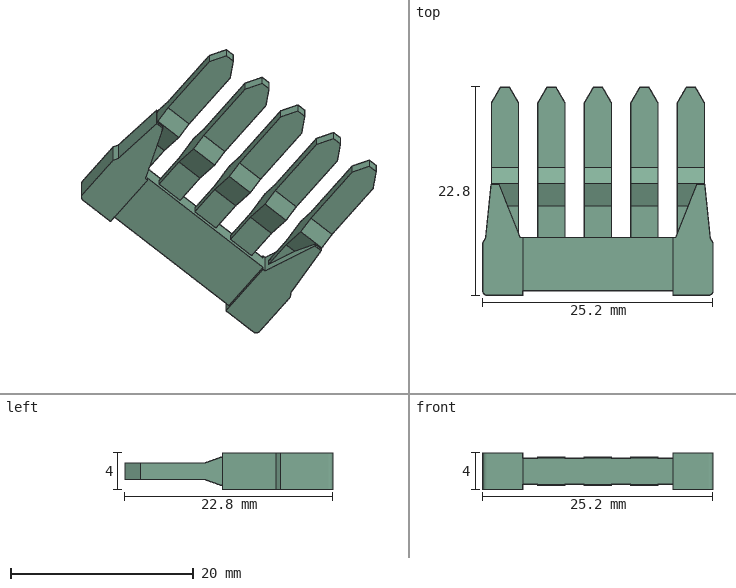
import cadquery as cq
import math


overall_width = 25.2
overall_length = 22.77
block_width = 4.4
block_thickness = 4.0
block_corner_radius = 0.5
shoulder_start_y = 5.75
shoulder_length = 0.5
shoulder_inset = 0.3

prong_end_y = 12.1
prong_end_outer_x = 11.7
prong_end_width = 0.9
prong_root_inner_x = 8.5

bar_thickness = 2.85
bar_front_y = 0.5
bar_rear_y = 6.35

pin_count = 5
pin_pitch = 5.08
pin_width = 3.0
pin_tip_width = 1.0
pin_tip_angle = 60.0
blade_thickness = 1.85
swell_thickness = 3.1
neck_thickness = 1.15
neck_end_y = 9.75
swell_peak_y = 12.25
blade_start_y = 14.0

block_outer_x = overall_width / 2
block_inner_x = block_outer_x - block_width


def make_right_block():
    """End block on the +X side: body, small shoulder and tapered prong in one outline."""
    outline = [
        (block_inner_x, 0),
        (block_outer_x, 0),
        (block_outer_x, shoulder_start_y),
        (block_outer_x - shoulder_inset, shoulder_start_y + shoulder_length),
        (prong_end_outer_x, prong_end_y),
        (prong_end_outer_x - prong_end_width, prong_end_y),
        (prong_root_inner_x, bar_rear_y),
        (block_inner_x, bar_rear_y),
    ]
    block = cq.Workplane("XY").polyline(outline).close().extrude(block_thickness / 2, both=True)
    front_outer_corner = cq.selectors.NearestToPointSelector((block_outer_x, 0, 0))
    return block.edges("|Z").edges(front_outer_corner).fillet(block_corner_radius)


def make_bar():
    """Plain bar spanning the gap between the end blocks."""
    bar_length = bar_rear_y - bar_front_y
    bar_centre_y = (bar_front_y + bar_rear_y) / 2
    return cq.Workplane("XY").box(2 * block_inner_x, bar_length, bar_thickness).translate((0, bar_centre_y, 0))


def make_pin():
    """Pin on X = 0: its side profile (neck, swell, blade) cut to its pointed plan outline."""
    root_y = (bar_front_y + bar_rear_y) / 2
    upper_profile = [
        (root_y, neck_thickness / 2),
        (neck_end_y, neck_thickness / 2),
        (swell_peak_y, swell_thickness / 2),
        (blade_start_y, blade_thickness / 2),
        (overall_length, blade_thickness / 2),
    ]
    lower_profile = [(y, -z) for y, z in reversed(upper_profile)]
    side_body = (
        cq.Workplane("YZ")
        .polyline(upper_profile + lower_profile)
        .close()
        .extrude(pin_width / 2, both=True)
    )

    half_width = pin_width / 2
    half_tip = pin_tip_width / 2
    tip_length = (half_width - half_tip) * math.tan(math.radians(pin_tip_angle))
    plan_outline = [
        (-half_width, root_y),
        (half_width, root_y),
        (half_width, overall_length - tip_length),
        (half_tip, overall_length),
        (-half_tip, overall_length),
        (-half_width, overall_length - tip_length),
    ]
    plan_body = cq.Workplane("XY").polyline(plan_outline).close().extrude(swell_thickness, both=True)
    return side_body.intersect(plan_body)


right_block = make_right_block()
left_block = right_block.mirror("YZ")
result = make_bar().union(right_block).union(left_block)

pin = make_pin()
for index in range(pin_count):
    pin_x = (index - (pin_count - 1) / 2) * pin_pitch
    result = result.union(pin.translate((pin_x, 0, 0)))